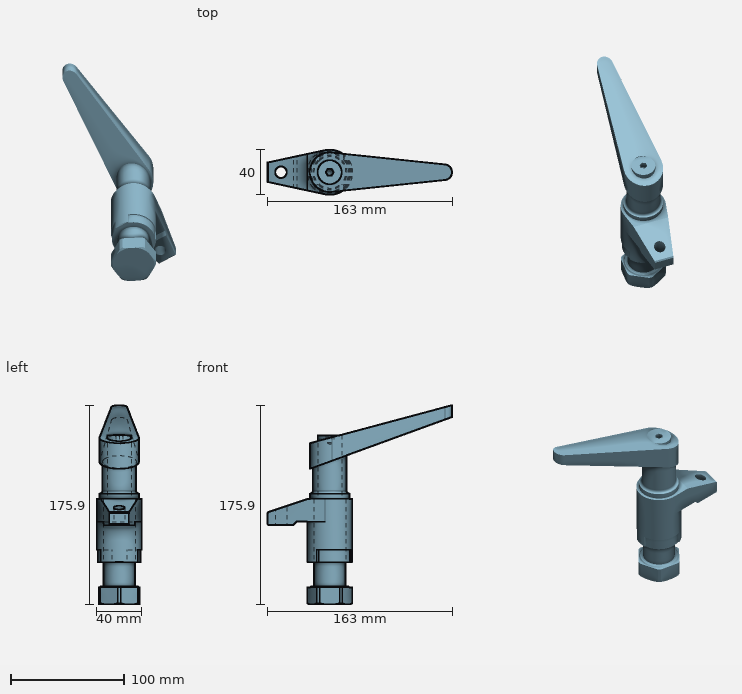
import cadquery as cq
import math


HEX_TOP = 15.0
WASHER_FACE_TOP = 16.0
SLEEVE_BOTTOM = 37.0
SLEEVE_TOP = 93.0
SPINDLE_TOP = 149.25

HEX_ACROSS_FLATS = 36.0
HEX_CORNER_RADIUS = 20.0
HEX_BOTTOM_RADIUS = 18.25
HEX_CHAMFER_ANGLE = 30.0
WASHER_FACE_BASE_RADIUS = 17.5
WASHER_FACE_TOP_RADIUS = 16.5
STEM_RADIUS = 14.0
SHANK_RADIUS = 10.6
SOCKET_ACROSS_FLATS = 6.0
SOCKET_DEPTH = 6.0
SOCKET_POINT_ANGLE = 118.0

SLEEVE_RADIUS = 20.0
ARM_REACH = 55.0
ARM_TIP_HALF_WIDTH = 8.6
ARM_TOP_FLAT_END = 20.0
ARM_SLOPE = 18.5
ARM_UNDERSIDE = 73.0
FOOT_BOTTOM = 70.0
FOOT_END = 32.0
ARM_TIP_CHAMFER = 1.0
ARM_HOLE_X = -43.0
ARM_HOLE_DIAMETER = 10.0

RECESS_RADIUS = 19.0
RECESS_TOP = 48.0
RECESS_ARM_SIDE_Y = 16.4
RECESS_TAB_SIDE_Y = 6.5
SLEEVE_BEVEL_START = 19.0
SLEEVE_BEVEL_ANGLE = 30.0

COLLAR_RADIUS = 17.5
COLLAR_EDGE = 97.75
NECK_RADIUS = 15.0
COLLAR_BLEND = COLLAR_RADIUS - NECK_RADIUS
HUB_RADIUS = 17.5
HANDLE_REACH = 108.0
HANDLE_TIP_RADIUS = 7.0
HANDLE_TOP_SLOPE = 15.0
HANDLE_BOTTOM_SLOPE = 20.0
HANDLE_TIP_TOP = 175.88
HANDLE_TIP_BOTTOM = 165.3


def rise(run, angle):
    """Height gained over a horizontal run at an angle in degrees."""
    return run * math.tan(math.radians(angle))


def cylinder(radius, bottom, top):
    return cq.Workplane("XY").workplane(offset=bottom).circle(radius).extrude(top - bottom)


def side_prism(points, half_width):
    """Prism across Y from an outline of (x, z) points."""
    return cq.Workplane("XZ").polyline(points).close().extrude(half_width, both=True)


def hexagon(across_flats, bottom, top):
    """Hexagonal prism with two corners on the X axis."""
    across_corners = across_flats / math.cos(math.radians(30))
    return cq.Workplane("XY").workplane(offset=bottom).polygon(6, across_corners).extrude(top - bottom)


def build_spindle():
    chamfer_height = rise(HEX_CORNER_RADIUS - HEX_BOTTOM_RADIUS, HEX_CHAMFER_ANGLE)
    turned_blank = (
        cq.Workplane("XZ")
        .moveTo(0, 0)
        .lineTo(HEX_BOTTOM_RADIUS, 0)
        .lineTo(HEX_CORNER_RADIUS, chamfer_height)
        .lineTo(HEX_CORNER_RADIUS, HEX_TOP)
        .lineTo(0, HEX_TOP)
        .close()
        .revolve(360, (0, 0, 0), (0, 1, 0))
    )
    head = hexagon(HEX_ACROSS_FLATS, 0, HEX_TOP).intersect(turned_blank)
    washer_face = cq.Workplane(
        cq.Solid.makeCone(
            WASHER_FACE_BASE_RADIUS,
            WASHER_FACE_TOP_RADIUS,
            WASHER_FACE_TOP - HEX_TOP,
            cq.Vector(0, 0, HEX_TOP),
        )
    )
    stem = cylinder(STEM_RADIUS, HEX_TOP, SLEEVE_TOP)
    shank = cylinder(SHANK_RADIUS, SLEEVE_TOP, SPINDLE_TOP)

    socket_floor = SPINDLE_TOP - SOCKET_DEPTH
    socket = hexagon(SOCKET_ACROSS_FLATS, socket_floor, SPINDLE_TOP)
    point_radius = SOCKET_ACROSS_FLATS / 2
    point_depth = rise(point_radius, 90 - SOCKET_POINT_ANGLE / 2)
    drill_point = cq.Workplane(
        cq.Solid.makeCone(point_radius, 0, point_depth, cq.Vector(0, 0, socket_floor), cq.Vector(0, 0, -1))
    )
    return head.union(washer_face).union(stem).union(shank).cut(socket).cut(drill_point)


def build_arm():
    """Arm tapering from tangents of the sleeve to its blunt tip."""
    tip_distance = math.hypot(ARM_REACH, ARM_TIP_HALF_WIDTH)
    tip_angle = math.atan2(ARM_TIP_HALF_WIDTH, ARM_REACH)
    tangent_angle = tip_angle + math.acos(SLEEVE_RADIUS / tip_distance)
    tangent_x = -SLEEVE_RADIUS * math.cos(tangent_angle)
    tangent_y = SLEEVE_RADIUS * math.sin(tangent_angle)
    plan = (
        cq.Workplane("XY")
        .workplane(offset=FOOT_BOTTOM)
        .polyline([
            (-ARM_REACH, -ARM_TIP_HALF_WIDTH),
            (tangent_x, -tangent_y),
            (tangent_x, tangent_y),
            (-ARM_REACH, ARM_TIP_HALF_WIDTH),
        ])
        .close()
        .extrude(SLEEVE_TOP - FOOT_BOTTOM)
    )

    tip_top = SLEEVE_TOP - rise(ARM_REACH - ARM_TOP_FLAT_END, ARM_SLOPE)
    foot_step = ARM_UNDERSIDE - FOOT_BOTTOM
    side = side_prism([
        (0, SLEEVE_TOP),
        (-ARM_TOP_FLAT_END, SLEEVE_TOP),
        (-ARM_REACH, tip_top),
        (-ARM_REACH, FOOT_BOTTOM),
        (-FOOT_END, FOOT_BOTTOM),
        (-FOOT_END + foot_step, ARM_UNDERSIDE),
        (0, ARM_UNDERSIDE),
    ], SLEEVE_RADIUS)
    side = side.faces("<X").edges("|Y").chamfer(ARM_TIP_CHAMFER)

    hole = cylinder(ARM_HOLE_DIAMETER / 2, FOOT_BOTTOM, SLEEVE_TOP).translate((ARM_HOLE_X, 0, 0))
    return plan.intersect(side).cut(hole)


def cut_stop_recesses(sleeve):
    """Thin the lower wall, leaving full-size lands on the arm side and on the opposite tab."""
    ring = cylinder(SLEEVE_RADIUS, SLEEVE_BOTTOM, RECESS_TOP)
    ring = ring.cut(cylinder(RECESS_RADIUS, SLEEVE_BOTTOM, RECESS_TOP))
    height = RECESS_TOP - SLEEVE_BOTTOM
    for land_half_width, direction in ((RECESS_ARM_SIDE_Y, -1), (RECESS_TAB_SIDE_Y, 1)):
        land = (
            cq.Workplane("XY")
            .workplane(offset=SLEEVE_BOTTOM)
            .center(direction * SLEEVE_RADIUS / 2, 0)
            .rect(SLEEVE_RADIUS, 2 * land_half_width)
            .extrude(height)
        )
        ring = ring.cut(land)
    return sleeve.cut(ring)


def bevel_lower_ends(sleeve):
    """Small flat bevels under the two lands."""
    bevel_height = rise(SLEEVE_RADIUS - SLEEVE_BEVEL_START, SLEEVE_BEVEL_ANGLE)
    for direction in (-1, 1):
        wedge = side_prism([
            (direction * SLEEVE_BEVEL_START, SLEEVE_BOTTOM),
            (direction * SLEEVE_RADIUS, SLEEVE_BOTTOM),
            (direction * SLEEVE_RADIUS, SLEEVE_BOTTOM + bevel_height),
        ], SLEEVE_RADIUS)
        sleeve = sleeve.cut(wedge)
    return sleeve


def build_sleeve():
    sleeve = cylinder(SLEEVE_RADIUS, SLEEVE_BOTTOM, SLEEVE_TOP)
    sleeve = cut_stop_recesses(sleeve)
    sleeve = bevel_lower_ends(sleeve)
    sleeve = sleeve.union(build_arm())
    return sleeve.cut(cylinder(STEM_RADIUS, SLEEVE_BOTTOM, SLEEVE_TOP))


def build_handle():
    """Hub and tip circles joined by tangent sides, between two sloping planes."""
    tip_x = HANDLE_REACH - HANDLE_TIP_RADIUS
    taper = math.asin((HUB_RADIUS - HANDLE_TIP_RADIUS) / tip_x)
    hub_tangent = (HUB_RADIUS * math.sin(taper), HUB_RADIUS * math.cos(taper))
    tip_tangent = (tip_x + HANDLE_TIP_RADIUS * math.sin(taper), HANDLE_TIP_RADIUS * math.cos(taper))
    plan = (
        cq.Workplane("XY")
        .workplane(offset=SLEEVE_TOP)
        .moveTo(hub_tangent[0], -hub_tangent[1])
        .lineTo(tip_tangent[0], -tip_tangent[1])
        .threePointArc((HANDLE_REACH, 0), tip_tangent)
        .lineTo(*hub_tangent)
        .threePointArc((-HUB_RADIUS, 0), (hub_tangent[0], -hub_tangent[1]))
        .close()
        .extrude(HANDLE_TIP_TOP - SLEEVE_TOP)
    )
    length = HANDLE_REACH + HUB_RADIUS
    side = side_prism([
        (HANDLE_REACH, HANDLE_TIP_BOTTOM),
        (HANDLE_REACH, HANDLE_TIP_TOP),
        (-HUB_RADIUS, HANDLE_TIP_TOP - rise(length, HANDLE_TOP_SLOPE)),
        (-HUB_RADIUS, HANDLE_TIP_BOTTOM - rise(length, HANDLE_BOTTOM_SLOPE)),
    ], HUB_RADIUS)
    return plan.intersect(side)


def build_lever():
    handle_top_at_axis = HANDLE_TIP_TOP - rise(HANDLE_REACH, HANDLE_TOP_SLOPE)
    handle_bottom_at_neck = HANDLE_TIP_BOTTOM - rise(HANDLE_REACH - NECK_RADIUS, HANDLE_BOTTOM_SLOPE)
    neck_top = (handle_bottom_at_neck + handle_top_at_axis - rise(NECK_RADIUS, HANDLE_TOP_SLOPE)) / 2
    blend_middle = COLLAR_BLEND * math.cos(math.radians(45))
    collar_and_neck = (
        cq.Workplane("XZ")
        .moveTo(0, SLEEVE_TOP)
        .lineTo(COLLAR_RADIUS, SLEEVE_TOP)
        .lineTo(COLLAR_RADIUS, COLLAR_EDGE)
        .threePointArc(
            (COLLAR_RADIUS - blend_middle, COLLAR_EDGE + COLLAR_BLEND - blend_middle),
            (NECK_RADIUS, COLLAR_EDGE + COLLAR_BLEND),
        )
        .lineTo(NECK_RADIUS, neck_top)
        .lineTo(0, neck_top)
        .close()
        .revolve(360, (0, 0, 0), (0, 1, 0))
    )
    lever = collar_and_neck.union(build_handle())
    return lever.cut(cylinder(SHANK_RADIUS, SLEEVE_TOP, HANDLE_TIP_TOP))


spindle = build_spindle()
sleeve = build_sleeve()
lever = build_lever()

result = cq.Compound.makeCompound([spindle.val(), sleeve.val(), lever.val()])